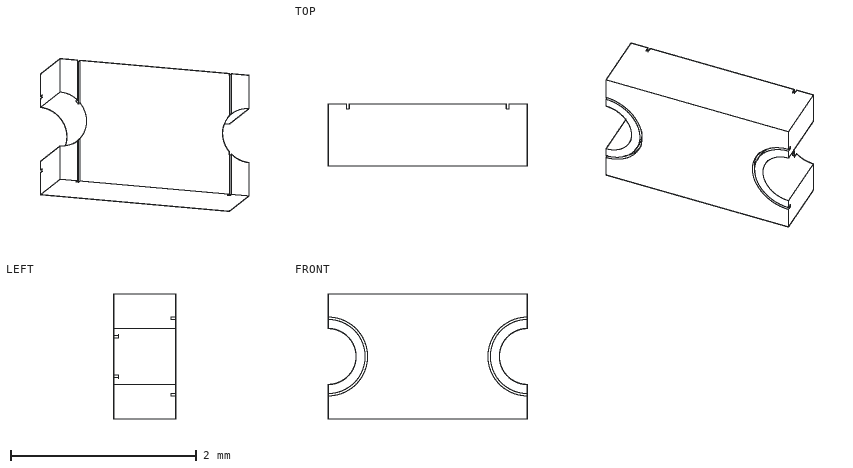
import cadquery as cq

length = 2.15
thickness = 0.67
height = 1.35

notch_radius = 0.3

groove_width = 0.025
groove_depth = 0.054
ring_inner_radius = 0.4
ring_outer_radius = ring_inner_radius + groove_width
straight_groove_offset = 0.2

front_y = -thickness / 2
back_y = thickness / 2


def y_cylinder(x, radius, depth):
    """Cylinder along +Y that starts at the -Y face."""
    return cq.Workplane("XZ", origin=(x, front_y, 0)).circle(radius).extrude(-depth)


def ring_groove(x):
    outer = y_cylinder(x, ring_outer_radius, groove_depth)
    return outer.cut(y_cylinder(x, ring_inner_radius, groove_depth))


def straight_groove(side):
    x = side * (length / 2 - straight_groove_offset - groove_width / 2)
    y = back_y - groove_depth / 2
    return cq.Workplane("XY").box(groove_width, groove_depth, height).translate((x, y, 0))


result = cq.Workplane("XY").box(length, thickness, height)
for side in (-1, 1):
    end_x = side * length / 2
    result = result.cut(y_cylinder(end_x, notch_radius, thickness))
    result = result.cut(ring_groove(end_x))
    result = result.cut(straight_groove(side))